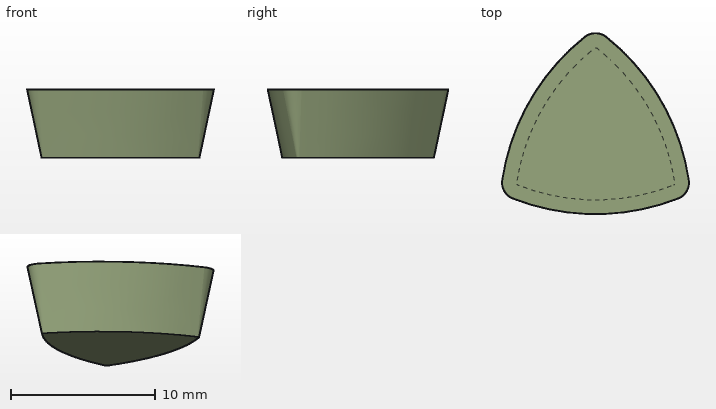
import cadquery as cq
import math

width = 12.99
depth = 12.57
height = 4.75
corner_radius = 1.2
relief_angle = 12.0

center_distance = (width / 2 - corner_radius) / math.cos(math.radians(30))
side_distance = depth - center_distance - corner_radius

half_span = center_distance * math.cos(math.radians(30))
rise = side_distance - center_distance / 2
side_radius = (half_span**2 + rise**2 - corner_radius**2) / (2 * (rise - corner_radius))
side_half_angle = math.degrees(math.asin(half_span / (side_radius - corner_radius)))
corner_half_angle = 60 - side_half_angle

bottom_inset = height * math.tan(math.radians(relief_angle))


def polar(radius, angle):
    return cq.Vector(
        radius * math.cos(math.radians(angle)),
        radius * math.sin(math.radians(angle)),
    )


def outline(inset, z):
    """Bowed triangle with rounded corners, offset inward by inset."""
    radius = corner_radius - inset
    lift = cq.Vector(0, 0, z)
    edges = []
    for corner_angle in (90, 210, 330):
        center = polar(center_distance, corner_angle) + lift
        next_center = polar(center_distance, corner_angle + 120) + lift
        start = center + polar(radius, corner_angle - corner_half_angle)
        tip = center + polar(radius, corner_angle)
        end = center + polar(radius, corner_angle + corner_half_angle)
        side_middle = polar(side_distance - inset, corner_angle + 60) + lift
        next_start = next_center + polar(radius, corner_angle + 120 - corner_half_angle)
        edges.append(cq.Edge.makeThreePointArc(start, tip, end))
        edges.append(cq.Edge.makeThreePointArc(end, side_middle, next_start))
    return cq.Wire.assembleEdges(edges)


body = cq.Solid.makeLoft([outline(bottom_inset, 0), outline(0, height)], True)
result = cq.Workplane("XY").newObject([body])